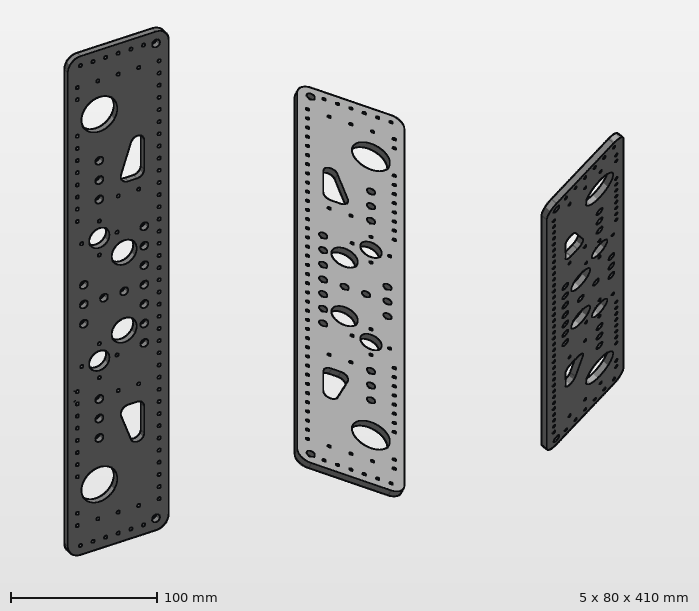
import cadquery as cq
import math

THICKNESS = 5.0
WIDTH = 80.0
LENGTH = 410.0
CORNER_RADIUS = 10.2

PIN_DIAMETER = 2.5
EDGE_COLUMN_Y = 32.5
GRID_END_Z = 180.0
GRID_STEPS = 18
GRID_PITCH = GRID_END_Z / GRID_STEPS
RIGHT_COLUMN_STEPS = [7, 8, 9, 10, 11, 12, 13, 14, 17, 18]
CROSS_ROW_Y = EDGE_COLUMN_Y / 2
INNER_CROSS_ROW_STEP = 8
END_ROW_Z = 197.2
END_ROW_REACH = 3

BOLT_DIAMETER = 6.0
BOLT_PITCH = 16.0
BOLT_STEPS = 3
BOLT_COLUMN_INSET = 19.3
BOLT_COLUMN_Y = WIDTH / 2 - BOLT_COLUMN_INSET
CORNER_BOLT_Y = 30.0
CORNER_BOLT_Z = 195.0
OUTER_BOLT_START_Z = 82.0
OUTER_BOLT_COUNT = 3

OPENING_INSET = 25.0
OPENING_Y = OPENING_INSET - WIDTH / 2
END_OPENING_DIAMETER = 28.3
END_OPENING_Z = 152.0
RINGED_OPENING_DIAMETER = 16.0
RINGED_OPENING_Z = 50.5
RING_RADIUS = 14.0
INNER_OPENING_DIAMETER = 19.5
INNER_OPENING_Y = BOLT_COLUMN_Y - BOLT_PITCH
INNER_OPENING_Z = 2 * BOLT_PITCH

WINDOW_LEFT_Y = 20.5
WINDOW_RIGHT_Y = 2.0
WINDOW_TIP_RADIUS = 5.5
WINDOW_BASE_RADIUS = 5.7
UPPER_WINDOW_BASE_Z = 89.5
UPPER_WINDOW_TIP_Z = 124.2
LOWER_WINDOW_BASE_Z = -94.5
LOWER_WINDOW_TIP_Z = -127.0


def both_ends(points):
    """Add the mirror image of each (y, z) point about the plate middle."""
    return points + [(y, -z) for y, z in points]


def drill(plate, diameter, points):
    """Cut through holes of one diameter at the (y, z) points."""
    cutter = (
        cq.Workplane("YZ")
        .pushPoints(points)
        .circle(diameter / 2)
        .extrude(THICKNESS, both=True)
    )
    return plate.cut(cutter)


def pin_hole_points():
    left_column = [(EDGE_COLUMN_Y, step * GRID_PITCH) for step in range(-GRID_STEPS, GRID_STEPS + 1)]
    right_column = [(-EDGE_COLUMN_Y, step * GRID_PITCH) for step in RIGHT_COLUMN_STEPS]
    outer_row = [(y, GRID_END_Z) for y in (CROSS_ROW_Y, 0, -CROSS_ROW_Y)]
    inner_row = [(y, INNER_CROSS_ROW_STEP * GRID_PITCH) for y in (CROSS_ROW_Y, 0)]
    end_row = [(step * GRID_PITCH, END_ROW_Z) for step in range(-END_ROW_REACH, END_ROW_REACH)]
    ring = [
        (OPENING_Y + dy * RING_RADIUS, RINGED_OPENING_Z + dz * RING_RADIUS)
        for dy, dz in ((1, 0), (-1, 0), (0, 1), (0, -1))
    ]
    return left_column + both_ends(right_column + outer_row + inner_row + end_row + ring)


def bolt_hole_points():
    column = [(BOLT_COLUMN_Y, step * BOLT_PITCH) for step in range(-BOLT_STEPS, BOLT_STEPS + 1)]
    middle_row = [(BOLT_COLUMN_Y - step * BOLT_PITCH, 0) for step in range(1, BOLT_STEPS + 1)]
    row_end = [(BOLT_COLUMN_Y - BOLT_STEPS * BOLT_PITCH, BOLT_PITCH)]
    outer_column = [(OPENING_Y, OUTER_BOLT_START_Z + step * BOLT_PITCH) for step in range(OUTER_BOLT_COUNT)]
    corner = [(CORNER_BOLT_Y, CORNER_BOLT_Z)]
    return column + middle_row + both_ends(row_end + outer_column + corner)


def window(base_z, tip_z):
    """Cutter for a window with a straight left side, a flat base and a slanted right side.

    The slanted side is the common tangent of the tip circle and the right base circle.
    Local points are (distance from the left side, distance from the base towards the tip).
    """
    height = abs(tip_z - base_z)
    direction = math.copysign(1, tip_z - base_z)
    width = WINDOW_LEFT_Y - WINDOW_RIGHT_Y
    tip_centre = (WINDOW_TIP_RADIUS, height - WINDOW_TIP_RADIUS)
    base_centre = (width - WINDOW_BASE_RADIUS, WINDOW_BASE_RADIUS)

    run = base_centre[0] - tip_centre[0]
    drop = base_centre[1] - tip_centre[1]
    radius_step = WINDOW_TIP_RADIUS - WINDOW_BASE_RADIUS
    normal_angle = math.atan2(drop, run) + math.acos(radius_step / math.hypot(run, drop))

    def place(across, along):
        return (WINDOW_LEFT_Y - across, base_z + direction * along)

    def tangent_point(centre, radius):
        return place(
            centre[0] + radius * math.cos(normal_angle),
            centre[1] + radius * math.sin(normal_angle),
        )

    return (
        cq.Workplane("YZ")
        .moveTo(*place(0, WINDOW_BASE_RADIUS))
        .lineTo(*place(0, tip_centre[1]))
        .tangentArcPoint(tangent_point(tip_centre, WINDOW_TIP_RADIUS), relative=False)
        .lineTo(*tangent_point(base_centre, WINDOW_BASE_RADIUS))
        .tangentArcPoint(place(base_centre[0], 0), relative=False)
        .lineTo(*place(WINDOW_BASE_RADIUS, 0))
        .tangentArcPoint(place(0, WINDOW_BASE_RADIUS), relative=False)
        .close()
        .extrude(THICKNESS, both=True)
    )


plate = cq.Workplane("XY").box(THICKNESS, WIDTH, LENGTH).edges("|X").fillet(CORNER_RADIUS)
plate = drill(plate, PIN_DIAMETER, pin_hole_points())
plate = drill(plate, BOLT_DIAMETER, bolt_hole_points())
plate = drill(plate, END_OPENING_DIAMETER, both_ends([(OPENING_Y, END_OPENING_Z)]))
plate = drill(plate, RINGED_OPENING_DIAMETER, both_ends([(OPENING_Y, RINGED_OPENING_Z)]))
plate = drill(plate, INNER_OPENING_DIAMETER, both_ends([(INNER_OPENING_Y, INNER_OPENING_Z)]))
plate = plate.cut(window(UPPER_WINDOW_BASE_Z, UPPER_WINDOW_TIP_Z))
plate = plate.cut(window(LOWER_WINDOW_BASE_Z, LOWER_WINDOW_TIP_Z))

result = plate